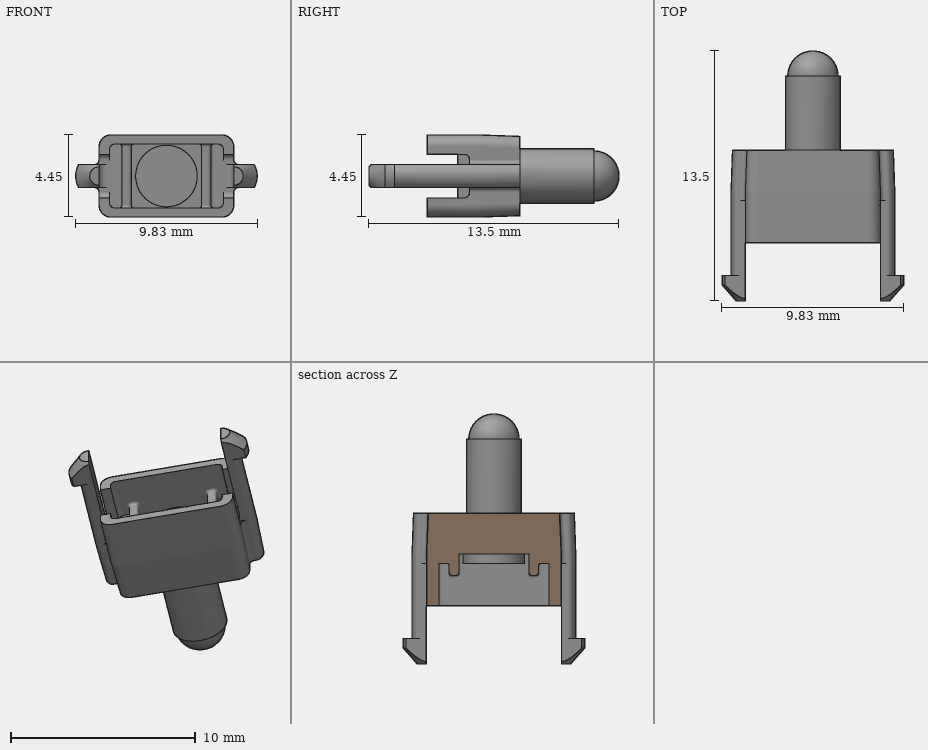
import cadquery as cq
import math

overall_width = 9.83
body_width = 7.3
body_height = 4.45
body_length = 5.01
corner_radius = 0.65
drafted_length = 2.21
draft_inset = 0.077

cavity_width = 6.16
cavity_height = 3.47
cavity_corner_radius = 0.3
shelf_depth = 2.72
boss_radius = 1.67

slot_height = 2.35
slot_corner_radius = 0.3

post_inner_x = 1.9
post_width = 0.51
post_front = 3.36
post_fillet = 0.15

leg_length = 8.16
leg_height = 1.26
leg_thickness = 0.79
leg_edge_radius = 0.25
leg_root_radius = 0.25
leg_inner_radius = 0.38

hook_start = 6.77
hook_taper_start = 7.3
hook_tip_radius = 0.5

pin_radius = 1.49
pin_length = 4.01
dome_radius = 1.37

half_width = body_width / 2
half_leg = leg_height / 2
hook_radius = overall_width / 2 - half_width
post_outer_x = post_inner_x + post_width


def xz_plane(depth):
    """Plane at the given distance in front of the back face, its normal towards -Y."""
    return cq.Workplane("XZ", origin=(0, -depth, 0))


def rounded_rectangle(width, height, radius):
    return cq.Sketch().rect(width, height).vertices().fillet(radius)


def mirrored_pair(solid):
    return solid.union(solid.mirror("YZ"))


def make_body():
    outline = rounded_rectangle(body_width, body_height, corner_radius)
    back_outline = rounded_rectangle(
        body_width - 2 * draft_inset, body_height - 2 * draft_inset, corner_radius
    )
    rear = xz_plane(0).placeSketch(
        back_outline, outline.moved(cq.Location(cq.Vector(0, 0, drafted_length)))
    ).loft()
    front = xz_plane(drafted_length).placeSketch(outline).extrude(body_length - drafted_length)
    return rear.union(front)


def cut_cavity(body):
    cavity = (
        xz_plane(shelf_depth)
        .placeSketch(rounded_rectangle(cavity_width, cavity_height, cavity_corner_radius))
        .extrude(body_length - shelf_depth)
    )
    pocket = (
        xz_plane(drafted_length)
        .rect(2 * post_inner_x, cavity_height)
        .extrude(shelf_depth - drafted_length)
    )
    boss = xz_plane(drafted_length).circle(boss_radius).extrude(shelf_depth - drafted_length)
    return body.cut(cavity).cut(pocket).union(boss)


def cut_slots(body):
    slot_length = body_length - shelf_depth
    slot = (
        cq.Workplane("XY")
        .box(2 * body_width, slot_length, slot_height)
        .translate((0, -shelf_depth - slot_length / 2, 0))
        .edges("|X and >Y")
        .fillet(slot_corner_radius)
    )
    return body.cut(slot)


def make_post():
    """Upright rib with rounded front edges."""
    r = post_fillet
    bend = r * math.sqrt(0.5)
    return (
        cq.Workplane("XY", origin=(0, 0, -cavity_height / 2))
        .moveTo(post_inner_x, -drafted_length)
        .lineTo(post_inner_x, r - post_front)
        .threePointArc((post_inner_x + r - bend, r - bend - post_front), (post_inner_x + r, -post_front))
        .lineTo(post_outer_x - r, -post_front)
        .threePointArc((post_outer_x - r + bend, r - bend - post_front), (post_outer_x, r - post_front))
        .lineTo(post_outer_x, -drafted_length)
        .close()
        .extrude(cavity_height)
    )


def round_post_feet(body):
    """Concave fillets where the posts meet the shelf and the upper and lower cavity walls."""
    margin = 0.01
    for side in (-1, 1):
        x_ends = sorted((side * (post_inner_x - margin), side * (post_outer_x + margin)))
        feet = cq.selectors.BoxSelector(
            (x_ends[0], -post_front - margin, -cavity_height / 2 - margin),
            (x_ends[1], -shelf_depth + margin, cavity_height / 2 + margin),
        )
        upright = cq.selectors.BoxSelector(
            (x_ends[0], -post_front - margin, -margin),
            (x_ends[1], -shelf_depth - margin, margin),
        )
        body = body.edges(feet - upright).fillet(post_fillet)
    return body


edge_center_z = half_leg - leg_edge_radius
edge_center_x = math.sqrt((leg_thickness - leg_edge_radius) ** 2 - edge_center_z ** 2)
edge_angle = math.atan2(edge_center_z, edge_center_x)
arc_end = (leg_thickness * math.cos(edge_angle), leg_thickness * math.sin(edge_angle))
edge_mid_angle = (edge_angle + math.pi / 2) / 2
edge_mid = (
    edge_center_x + leg_edge_radius * math.cos(edge_mid_angle),
    edge_center_z + leg_edge_radius * math.sin(edge_mid_angle),
)


def draw_leg_tip(section, base_x):
    """Continue a section from the leg's upper flat over its round side to the lower flat."""
    return (
        section.lineTo(base_x + edge_center_x, half_leg)
        .threePointArc((base_x + edge_mid[0], edge_mid[1]), (base_x + arc_end[0], arc_end[1]))
        .threePointArc((base_x + leg_thickness, 0), (base_x + arc_end[0], -arc_end[1]))
        .threePointArc((base_x + edge_mid[0], -edge_mid[1]), (base_x + edge_center_x, -half_leg))
    )


def draw_leg_root_section(section, base_x):
    """Leg section blended into the body side by concave fillets."""
    r = leg_root_radius
    bend = r * (1 - math.sqrt(0.5))
    buried_x = base_x - leg_thickness
    section = (
        section.moveTo(buried_x, half_leg + r)
        .lineTo(base_x, half_leg + r)
        .threePointArc((base_x + bend, half_leg + bend), (base_x + r, half_leg))
    )
    return (
        draw_leg_tip(section, base_x)
        .lineTo(base_x + r, -half_leg)
        .threePointArc((base_x + bend, -half_leg - bend), (base_x, -half_leg - r))
        .lineTo(buried_x, -half_leg - r)
        .close()
    )


def make_leg():
    drafted_root = draw_leg_root_section(xz_plane(0), half_width - draft_inset)
    drafted_root = drafted_root.workplane(offset=drafted_length)
    drafted_root = draw_leg_root_section(drafted_root, half_width).loft(ruled=True)
    straight_root = draw_leg_root_section(xz_plane(drafted_length), half_width)
    straight_root = straight_root.extrude(shelf_depth - drafted_length)
    arm = draw_leg_tip(xz_plane(shelf_depth).moveTo(half_width, half_leg), half_width)
    arm = arm.lineTo(half_width, -half_leg).close().extrude(hook_taper_start - shelf_depth)
    return drafted_root.union(straight_root).union(arm).union(make_hook()).union(make_inner_fillet())


def make_hook():
    """Round barb with a conical lead-in, clipped to the leg's height and inner face."""
    barb = (
        cq.Workplane("XY")
        .moveTo(half_width, -hook_start)
        .lineTo(half_width + hook_radius, -hook_start)
        .lineTo(half_width + hook_radius, -hook_taper_start)
        .lineTo(half_width + hook_tip_radius, -leg_length)
        .lineTo(half_width, -leg_length)
        .close()
        .revolve(360, (half_width, 0, 0), (half_width, 1, 0))
    )
    clip = cq.Workplane("XY").box(hook_radius, leg_length, leg_height)
    return barb.intersect(clip.translate((half_width + hook_radius / 2, -leg_length / 2, 0)))


def make_inner_fillet():
    """Concave fillet between the slot end and the leg's inner face."""
    r = leg_inner_radius
    bend = r * (1 - math.sqrt(0.5))
    return (
        cq.Workplane("XY", origin=(0, 0, -half_leg))
        .moveTo(half_width, -shelf_depth)
        .lineTo(half_width - r, -shelf_depth)
        .threePointArc((half_width - bend, -shelf_depth - bend), (half_width, -shelf_depth - r))
        .close()
        .extrude(leg_height)
    )


def make_pin():
    shaft = cq.Workplane("XZ").circle(pin_radius).extrude(-pin_length)
    dome = cq.Workplane("XY").sphere(dome_radius).translate((0, pin_length, 0))
    return shaft.union(dome)


housing = cut_slots(cut_cavity(make_body()))
housing = round_post_feet(housing.union(mirrored_pair(make_post())))
result = housing.union(mirrored_pair(make_leg())).union(make_pin())